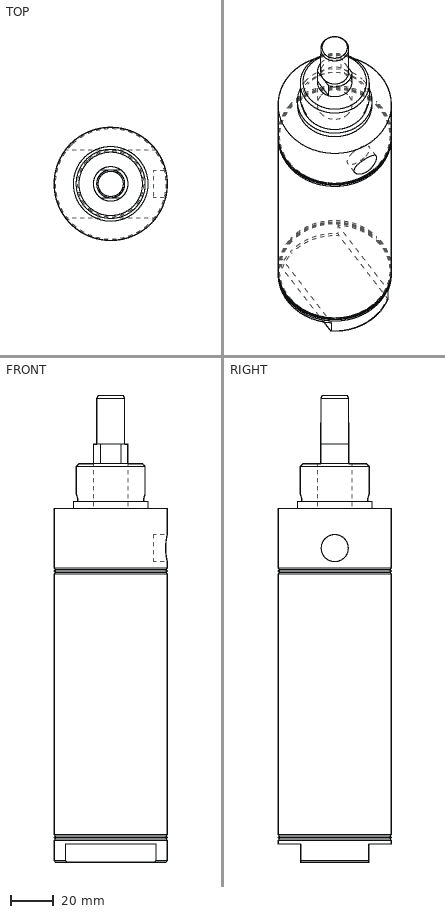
import cadquery as cq

total_height = 217.7
tongue_height = 8.5
lower_groove_bottom = 10.2
upper_groove_bottom = 134.5
head_top = 165.0
collar_top = 168.3
neck_bottom = 171.7
neck_top = 186.0
shoulder_top = 195.0

barrel_radius = 53.0 / 2
collar_radius = 17.5
neck_radius = 16.0
relief_radius = 15.5
relief_taper = 2.2
neck_chamfer = 1.3
tongue_width = 31.8
base_chamfer_width = 0.7
base_chamfer_height = 0.9

groove_width = 1.3
groove_depth = 0.7

port_diameter = 12.6
port_height = 146.5
port_depth = 6.5

rod_radius = 8.0
tip_radius = 6.5
flat_width = 2 * tip_radius
tip_chamfer_height = 1.3
tip_chamfer_width = 0.7
rod_bottom = head_top


def centred_box(length, width, bottom, top):
    """Box centred on the Z axis between two heights."""
    return cq.Workplane("XY", origin=(0, 0, bottom)).rect(length, width).extrude(top - bottom)


def cylinder(radius, bottom, top):
    """Cylinder on the Z axis between two heights."""
    return cq.Workplane("XY", origin=(0, 0, bottom)).circle(radius).extrude(top - bottom)


def make_turned_housing():
    """Revolved barrel, collar, relief and neck."""
    profile = [
        (0, 0),
        (barrel_radius - base_chamfer_width, 0),
        (barrel_radius, base_chamfer_height),
        (barrel_radius, head_top),
        (collar_radius, head_top),
        (collar_radius, collar_top),
        (relief_radius, collar_top),
        (relief_radius, neck_bottom - relief_taper),
        (neck_radius, neck_bottom),
        (neck_radius, neck_top - neck_chamfer),
        (neck_radius - neck_chamfer, neck_top),
        (0, neck_top),
    ]
    return cq.Workplane("XZ").polyline(profile).close().revolve(360, (0, 0, 0), (0, 1, 0))


def make_groove(bottom):
    """Ring that cuts one V groove around the barrel."""
    profile = [
        (barrel_radius, bottom),
        (barrel_radius - groove_depth, bottom + groove_width / 2),
        (barrel_radius, bottom + groove_width),
    ]
    return cq.Workplane("XZ").polyline(profile).close().revolve(360, (0, 0, 0), (0, 1, 0))


def make_side_cuts():
    """Material removed on both Y sides to leave the mounting tongue."""
    diameter = 2 * barrel_radius
    below_barrel = centred_box(diameter, diameter, 0, tongue_height)
    return below_barrel.cut(centred_box(diameter, tongue_width, 0, tongue_height))


def make_port():
    """Blind radial hole entering the head from +X."""
    plane = cq.Workplane("YZ", origin=(barrel_radius - port_depth, 0, port_height))
    return plane.circle(port_diameter / 2).extrude(port_depth)


def make_housing():
    housing = make_turned_housing().cut(make_side_cuts())
    for pair_bottom in (lower_groove_bottom, upper_groove_bottom):
        for groove_bottom in (pair_bottom, pair_bottom + groove_width):
            housing = housing.cut(make_groove(groove_bottom))
    rod_bore = cylinder(rod_radius, rod_bottom, neck_top)
    return housing.cut(make_port()).cut(rod_bore)


def make_rod():
    """Rod seated in the neck, with two wrench flats below its slimmer tip."""
    seated_end = cylinder(rod_radius, rod_bottom, neck_top)
    flats = cylinder(rod_radius, neck_top, shoulder_top)
    flats = flats.intersect(centred_box(2 * rod_radius, flat_width, neck_top, shoulder_top))
    tip = cylinder(tip_radius, shoulder_top, total_height).faces(">Z")
    tip = tip.chamfer(tip_chamfer_height, tip_chamfer_width)
    return seated_end.union(flats).union(tip)


housing = make_housing()
rod = make_rod()
result = cq.Compound.makeCompound([housing.val(), rod.val()])